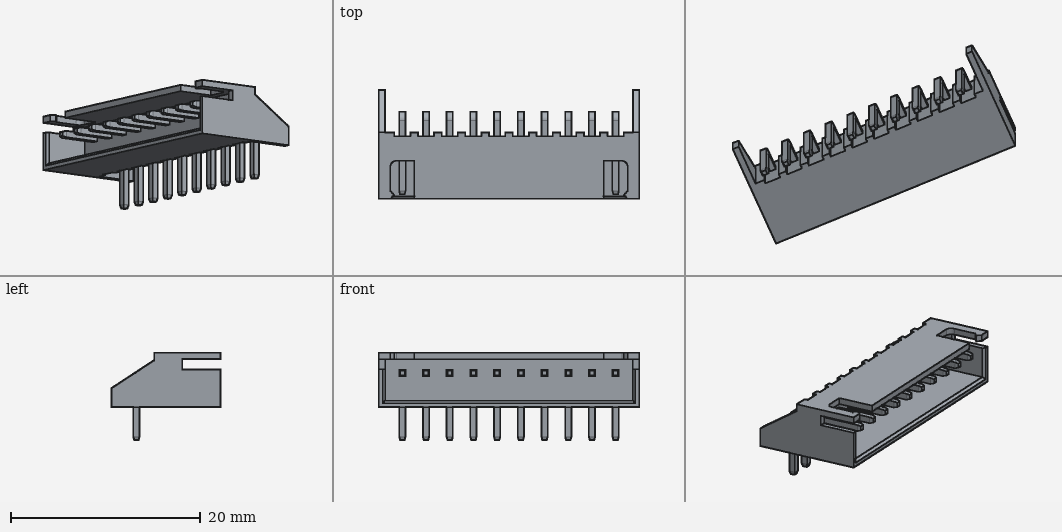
import cadquery as cq


pin_count = 10
length = 27.5
pitch = length / (pin_count + 1)
pin_width = 0.7
pin_axis_z = 3.58
pin_front_y = 0.47
pin_back_y = 9.2
pin_bottom_z = -3.5
bend_outer_radius = 0.94
tip_length = 0.38
tip_inset = 0.1

body_depth = 7.0
body_height = 5.75
wall = 0.7
mouth_chamfer = 0.28
cavity_depth = 5.0
cavity_top_z = body_height - wall

total_depth = 11.5
cheek_back_height = 2.0
cheek_step_drop = 0.8
cheek_step_z = body_height - cheek_step_drop

notch_width = 1.68
notch_depth = 0.38

opening_depth = 4.02
window_bottom_z = 4.0
slot_end_margin = 1.25
slot_width = 2.53
slot_outer_x = length / 2 - slot_end_margin
slot_inner_x = slot_outer_x - slot_width
slot_corner_radius = 0.6
slot_lip_size = 0.4

pin_positions = [(i - (pin_count - 1) / 2) * pitch for i in range(pin_count)]


def box(x_min, x_max, y_min, y_max, z_min, z_max):
    """Axis-aligned box given by its limits."""
    size = (x_max - x_min, y_max - y_min, z_max - z_min)
    return cq.Workplane("XY").box(*size, centered=False).translate((x_min, y_min, z_min))


def make_shell():
    """Solid block with the side outline of the cheeks, cut back between them."""
    side_outline = [
        (0, 0),
        (total_depth, 0),
        (total_depth, cheek_back_height),
        (body_depth, cheek_step_z),
        (body_depth, body_height),
        (0, body_height),
    ]
    block = cq.Workplane("YZ").polyline(side_outline).close().extrude(length / 2, both=True)
    inner_x = length / 2 - wall
    return block.cut(box(-inner_x, inner_x, body_depth, total_depth, 0, body_height))


def make_cavity():
    """Mating cavity, with a lead-in on its floor and sides but not under the top plate."""
    inner_x = length / 2 - wall
    cavity = box(-inner_x, inner_x, 0, cavity_depth, wall, cavity_top_z)
    flare_x = inner_x + mouth_chamfer
    flare_z = wall - mouth_chamfer
    lead_in = (
        cq.Workplane("XZ")
        .polyline([(-flare_x, flare_z), (flare_x, flare_z), (flare_x, cavity_top_z), (-flare_x, cavity_top_z)])
        .close()
        .workplane(offset=-mouth_chamfer)
        .polyline([(-inner_x, wall), (inner_x, wall), (inner_x, cavity_top_z), (-inner_x, cavity_top_z)])
        .close()
        .loft(ruled=True)
    )
    return cavity.union(lead_in)


def make_top_slot():
    """Slot through the top plate at the +X end, narrowed by a pointed lip at the mouth."""
    lip_x = slot_outer_x - slot_lip_size
    return (
        cq.Workplane("XY")
        .workplane(offset=cavity_top_z)
        .moveTo(slot_inner_x, 0)
        .lineTo(slot_outer_x, 0)
        .lineTo(lip_x, slot_lip_size)
        .lineTo(slot_outer_x, 2 * slot_lip_size)
        .lineTo(slot_outer_x, opening_depth - slot_corner_radius)
        .radiusArc((slot_outer_x - slot_corner_radius, opening_depth), -slot_corner_radius)
        .lineTo(slot_inner_x, opening_depth)
        .close()
        .extrude(body_height - cavity_top_z)
    )


def make_pin():
    """Square pin bent down at the back, with both tips tapered."""
    half = pin_width / 2
    top_z = pin_axis_z + half
    bottom_z = pin_axis_z - half
    tail_front_y = pin_back_y - pin_width
    bend_inner_radius = bend_outer_radius - pin_width
    bar_front_y = pin_front_y + tip_length
    bar_bottom_z = pin_bottom_z + tip_length
    bar = (
        cq.Workplane("YZ")
        .moveTo(bar_front_y, top_z)
        .lineTo(pin_back_y - bend_outer_radius, top_z)
        .radiusArc((pin_back_y, top_z - bend_outer_radius), bend_outer_radius)
        .lineTo(pin_back_y, bar_bottom_z)
        .lineTo(tail_front_y, bar_bottom_z)
        .lineTo(tail_front_y, bottom_z - bend_inner_radius)
        .radiusArc((tail_front_y - bend_inner_radius, bottom_z), -bend_inner_radius)
        .lineTo(bar_front_y, bottom_z)
        .close()
        .extrude(half, both=True)
    )
    tip_width = pin_width - 2 * tip_inset
    tip = (
        cq.Workplane("XY")
        .rect(pin_width, pin_width)
        .workplane(offset=-tip_length)
        .rect(tip_width, tip_width)
        .loft(ruled=True)
    )
    tail_tip = tip.translate((0, pin_back_y - half, bar_bottom_z))
    front_tip = tip.rotate((0, 0, 0), (1, 0, 0), -90).translate((0, bar_front_y, pin_axis_z))
    return bar.union(tail_tip).union(front_tip)


shroud = make_shell().cut(make_cavity())

top_slot = make_top_slot()
shroud = shroud.cut(top_slot).cut(top_slot.mirror("YZ"))
shroud = shroud.cut(box(-length / 2, length / 2, 0, opening_depth, window_bottom_z, cavity_top_z))

for x in pin_positions:
    notch_x = (x - notch_width / 2, x + notch_width / 2)
    shroud = shroud.cut(box(*notch_x, body_depth - notch_depth, body_depth, 0, body_height))

result = shroud
pin = make_pin()
for x in pin_positions:
    result = result.union(pin.translate((x, 0, 0)))